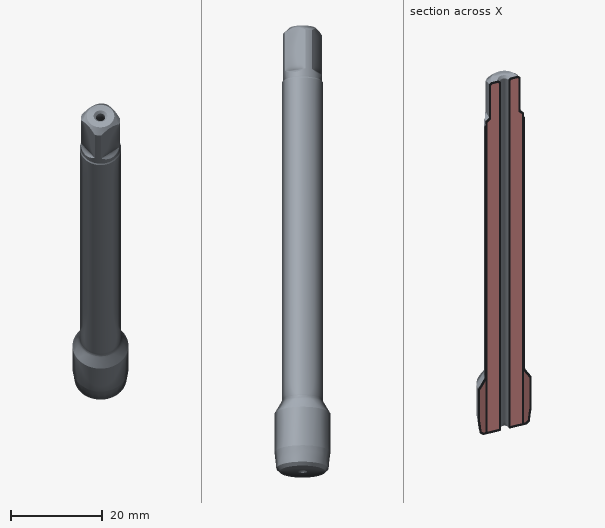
import cadquery as cq

length = 100.0

core_radius = 8.6 / 2
square_width = 7.0
square_base_z = 90.0
tip_flat_radius = 3.0
bore_diameter = 2.0
mouth_diameter = 3.0
mouth_angle = 90

tube_radius = 9.0 / 2
tube_top_z = 88.1
tube_lip_height = 0.3
head_radius = 12.2 / 2
neck_z = 15.8
neck_fillet = 1.0
shoulder_z = 13.0
nose_top_z = 4.3
end_chamfer = 0.7
nose_bottom_radius = 5.7


def square_end_cutter():
    """Cut one flat of the square, with a ledge sloping down and out at 45 degrees."""
    flat = square_width / 2
    reach = tube_radius - flat
    return (
        cq.Workplane("XZ")
        .moveTo(flat, length)
        .lineTo(flat, square_base_z)
        .lineTo(flat + reach, square_base_z - reach)
        .lineTo(flat + reach, length)
        .close()
        .extrude(tube_radius, both=True)
    )


def make_core():
    tip_chamfer = core_radius - tip_flat_radius
    core = cq.Workplane("XY").circle(core_radius).extrude(length)
    core = core.faces(">Z").chamfer(tip_chamfer)
    for side in range(4):
        cutter = square_end_cutter().rotate((0, 0, 0), (0, 0, 1), side * 90)
        core = core.cut(cutter)
    return core.faces(">Z").workplane().cskHole(bore_diameter, mouth_diameter, mouth_angle)


def make_sleeve():
    sleeve = (
        cq.Workplane("XZ")
        .moveTo(core_radius, 0)
        .lineTo(nose_bottom_radius - end_chamfer, 0)
        .lineTo(nose_bottom_radius, end_chamfer)
        .lineTo(head_radius, nose_top_z)
        .lineTo(head_radius, shoulder_z)
        .lineTo(tube_radius, neck_z)
        .lineTo(tube_radius, tube_top_z - tube_lip_height)
        .lineTo(core_radius, tube_top_z)
        .close()
        .revolve(360, (0, 0, 0), (0, 1, 0))
    )
    neck_edge = cq.selectors.BoxSelector(
        (-head_radius, -head_radius, neck_z - neck_fillet),
        (head_radius, head_radius, neck_z + neck_fillet),
    )
    return sleeve.edges(neck_edge).edges("%CIRCLE").fillet(neck_fillet)


core = make_core()
sleeve = make_sleeve()

result = cq.Compound.makeCompound([core.val(), sleeve.val()])